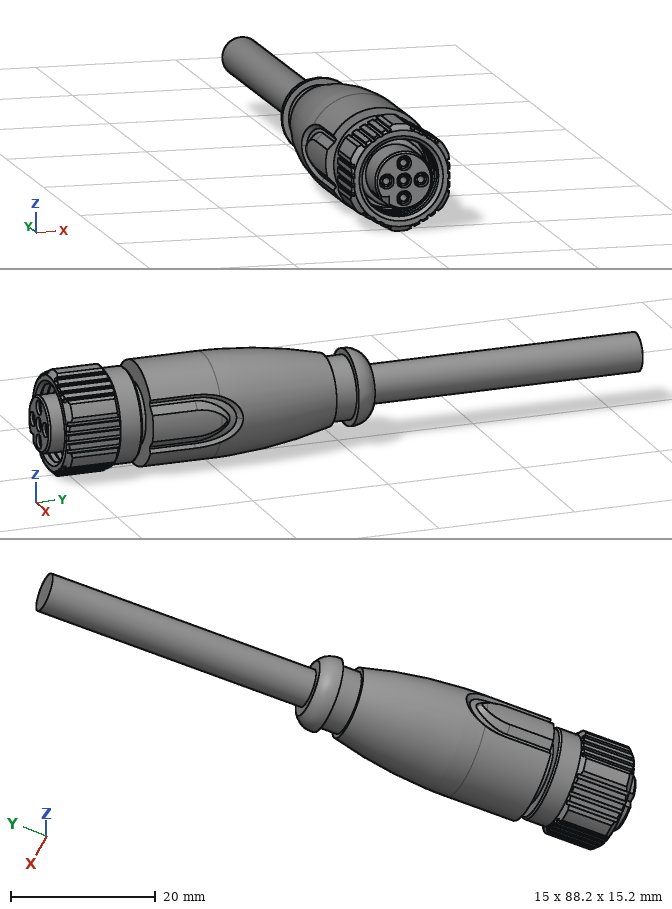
import cadquery as cq
import math

length = 88.2

cable_radius = 5.6 / 2
neck_radius = 9.2 / 2
bead_back_radius = 4.1
bead_radius = 5.5
bead_back_y = 48.2
bead_front_y = 45.25
bead_arc_radius = (bead_back_y - bead_front_y) ** 2 / (2 * (bead_radius - bead_back_radius))

body_back_y = 42.1
body_straight_y = 24.25
body_front_y = 14.1
body_back_radius = 5.2
body_radius = 7.5

nut_back_y = 12.9
grip_back_y = 9.6
nut_front_y = 1.6
collar_radius = 13.5 / 2
collar_chamfer = 0.3
grip_radius = 7.6
grip_flat = 14.0 / 2
grip_back_chamfer = 0.6
grip_front_radius = 6.8
grip_front_chamfer = 0.8
flat_count = 6
grooves_per_flat = 4
groove_spacing = 1.3
groove_width = 0.5
groove_depth = 0.35

thread_minor_radius = 5.5
thread_major_radius = 6.0
thread_pitch = 1.0
thread_turns = 5
bore_depth = 7.1

insert_radius = 8.2 / 2
insert_chamfer = 0.3
shoulder_radius = 9.5 / 2
shoulder_y = 5.3
shoulder_fillet = 0.6
keyway_corner = 2.1
keyway_depth = 4.4

contact_spacing = 2.5
socket_radius = 2.0 / 2
socket_depth = 5.3
contact_radius = 1.6 / 2
contact_bore_radius = 1.1 / 2
contact_recess = 0.35
contact_places = (
    (0, 0),
    (contact_spacing, 0),
    (-contact_spacing, 0),
    (0, contact_spacing),
    (0, -contact_spacing),
)

arch_curve_y = 20.7
recess_back_y = 27.5
recess_half_width = 5.5
recess_slope = 55.0
recess_floor_radius = 6.9
pad_back_y = 25.05
pad_half_width = 1.7
pad_slope = 45.0
arch_base_x = 5.3
front_overrun = 5.3


def revolve_about_y(profile):
    return profile.close().revolve(360, (0, 0, 0), (0, 1, 0))


def cylinder(radius, y_start, y_end, x=0.0, z=0.0):
    """Round bar along Y."""
    solid = cq.Solid.makeCylinder(radius, y_end - y_start, cq.Vector(x, y_start, z), cq.Vector(0, 1, 0))
    return cq.Workplane(obj=solid)


def make_cable_and_bead():
    cable = cylinder(cable_radius, bead_back_y, length)
    neck = cylinder(neck_radius, grip_back_y, bead_front_y)
    bead = revolve_about_y(
        cq.Workplane("XY")
        .moveTo(0, bead_front_y)
        .lineTo(bead_radius, bead_front_y)
        .radiusArc((bead_back_radius, bead_back_y), -bead_arc_radius)
        .lineTo(0, bead_back_y)
    )
    return cable.union(neck).union(bead)


def make_body():
    return revolve_about_y(
        cq.Workplane("XY")
        .moveTo(0, body_front_y)
        .lineTo(body_radius, body_front_y)
        .lineTo(body_radius, body_straight_y)
        .tangentArcPoint((body_back_radius, body_back_y), relative=False)
        .lineTo(0, body_back_y)
    )


def arch(back_y, half_width):
    """Outline facing +X: straight sides that run out of the body front, half an ellipse at the back."""
    start_y = body_front_y - front_overrun
    return (
        cq.Workplane("YZ", origin=(arch_base_x, 0, 0))
        .moveTo(start_y, -half_width)
        .lineTo(arch_curve_y, -half_width)
        .ellipseArc(back_y - arch_curve_y, half_width, -90, 90, startAtCurrent=True)
        .lineTo(start_y, half_width)
        .close()
    )


def sloped_arch(back_y, half_width, slope):
    """Arch with the given outline at the body radius, widening inwards by the slope in degrees.

    A negative slope narrows it inwards instead.
    """
    height = body_radius - arch_base_x
    spread = height * math.tan(math.radians(slope))
    return arch(back_y + spread, half_width + spread).extrude(height, taper=slope)


def make_finger_grip_cut():
    """Arched recess of even depth around a raised pad, both with sloping sides, on the +X side."""
    shell = cylinder(body_radius, body_front_y, recess_back_y)
    shell = shell.cut(cylinder(recess_floor_radius, body_front_y, recess_back_y))
    recess = sloped_arch(recess_back_y, recess_half_width, -recess_slope)
    pad = sloped_arch(pad_back_y, pad_half_width, pad_slope)
    return recess.intersect(shell).cut(pad)


def make_nut():
    """Collar and hexagonal grip with round corners and grooved flats."""
    collar = cylinder(collar_radius, grip_back_y, nut_back_y).faces(">Y").chamfer(collar_chamfer)
    grip = revolve_about_y(
        cq.Workplane("XY")
        .moveTo(0, nut_front_y)
        .lineTo(grip_front_radius, nut_front_y)
        .lineTo(grip_radius, nut_front_y + grip_front_chamfer)
        .lineTo(grip_radius, grip_back_y - grip_back_chamfer)
        .lineTo(collar_radius, grip_back_y)
        .lineTo(0, grip_back_y)
    )
    grip_length = grip_back_y - nut_front_y
    grip_mid_y = (grip_back_y + nut_front_y) / 2
    flats = (
        cq.Workplane("XZ", origin=(0, grip_back_y, 0))
        .polygon(flat_count, 2 * grip_flat, circumscribed=True)
        .extrude(grip_length)
    )
    grip = grip.intersect(flats)
    for side in range(flat_count):
        for index in range(grooves_per_flat):
            offset = (index - (grooves_per_flat - 1) / 2) * groove_spacing
            groove = (
                cq.Workplane("XY")
                .box(2 * groove_depth, grip_length, groove_width)
                .translate((grip_flat, grip_mid_y, offset))
                .rotate((0, 0, 0), (0, 1, 0), side * 360 / flat_count)
            )
            grip = grip.cut(groove)
    return collar.union(grip)


def make_threaded_bore():
    """Bore with ring-shaped thread grooves; the first flank is the lead-in at the mouth."""
    floor_y = nut_front_y + bore_depth
    profile = (
        cq.Workplane("XY")
        .moveTo(0, nut_front_y)
        .lineTo(thread_major_radius, nut_front_y)
    )
    for turn in range(thread_turns):
        crest_y = nut_front_y + (turn + 0.5) * thread_pitch
        profile = profile.lineTo(thread_minor_radius, crest_y)
        profile = profile.lineTo(thread_major_radius, crest_y + thread_pitch / 2)
    last_crest_y = nut_front_y + (thread_turns + 0.5) * thread_pitch
    profile = profile.lineTo(thread_minor_radius, last_crest_y)
    profile = profile.lineTo(thread_minor_radius, floor_y)
    return revolve_about_y(profile.lineTo(0, floor_y))


def make_insert():
    """Contact carrier standing on a rounded shoulder, with a corner keyway and five sockets."""
    base_y = nut_front_y + bore_depth
    insert = cylinder(insert_radius, 0, base_y).faces("<Y").chamfer(insert_chamfer)
    shoulder = cylinder(shoulder_radius, shoulder_y, base_y).faces("<Y").edges().fillet(shoulder_fillet)
    keyway = (
        cq.Workplane("XY")
        .box(insert_radius, keyway_depth, insert_radius, centered=False)
        .translate((-keyway_corner - insert_radius, 0, -keyway_corner - insert_radius))
    )
    insert = insert.union(shoulder).cut(keyway)
    for x, z in contact_places:
        insert = insert.cut(cylinder(socket_radius, 0, socket_depth, x, z))
        contact = cylinder(contact_radius, contact_recess, socket_depth, x, z)
        contact = contact.cut(cylinder(contact_bore_radius, 0, socket_depth, x, z))
        insert = insert.union(contact)
    return insert


body = make_body()
grip_cut = make_finger_grip_cut()
body = body.cut(grip_cut).cut(grip_cut.mirror("YZ"))
nut = make_nut().cut(make_threaded_bore())
result = make_cable_and_bead().union(body).union(nut).union(make_insert())